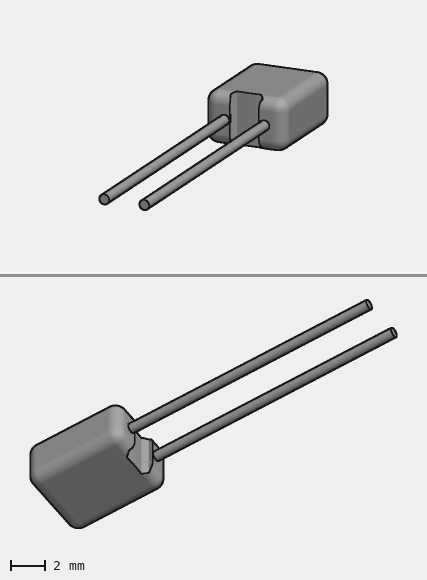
import cadquery as cq

HOUSING_WIDTH = 5.09
HOUSING_LENGTH = 6.5
HOUSING_HEIGHT = 3.2
EDGE_RADIUS = 0.71

TOTAL_LENGTH = 23.0
LEAD_LENGTH = TOTAL_LENGTH - HOUSING_LENGTH
LEAD_DIAMETER = 0.62
LEAD_PITCH = 2.53

NOTCH_MOUTH_WIDTH = 1.85
NOTCH_INNER_WIDTH = 2.0
NOTCH_WIDEST_DEPTH = 0.32
NOTCH_SHOULDER_WIDTH = 1.65
NOTCH_SHOULDER_DEPTH = 0.55
NOTCH_DEPTH = 0.65


def make_notch():
    """Cutter through the full height: each half is a smooth curve from the mouth to the mid-plane."""
    side_curve = [
        (NOTCH_INNER_WIDTH / 2, NOTCH_WIDEST_DEPTH),
        (NOTCH_SHOULDER_WIDTH / 2, NOTCH_SHOULDER_DEPTH),
        (0, NOTCH_DEPTH),
    ]
    half = (
        cq.Workplane("XY", origin=(0, 0, -HOUSING_HEIGHT / 2))
        .lineTo(NOTCH_MOUTH_WIDTH / 2, 0)
        .spline(side_curve, tangents=[(0, 1), (-1, 0)], includeCurrent=True)
        .close()
        .extrude(HOUSING_HEIGHT)
    )
    return half.union(half.mirror("YZ"), clean=False)


def make_housing():
    """Block rounded on every edge, with the relief notch cut in its front face."""
    block = (
        cq.Workplane("XY")
        .box(HOUSING_WIDTH, HOUSING_LENGTH, HOUSING_HEIGHT, centered=(True, False, True))
        .edges()
        .fillet(EDGE_RADIUS)
    )
    return block.cut(make_notch())


def make_lead(x):
    """Round wire that butts against the front face and runs toward -Y."""
    return cq.Workplane("XZ").center(x, 0).circle(LEAD_DIAMETER / 2).extrude(LEAD_LENGTH)


housing = make_housing()
leads = [make_lead(side * LEAD_PITCH / 2) for side in (-1, 1)]

result = cq.Compound.makeCompound([housing.val(), *[lead.val() for lead in leads]])